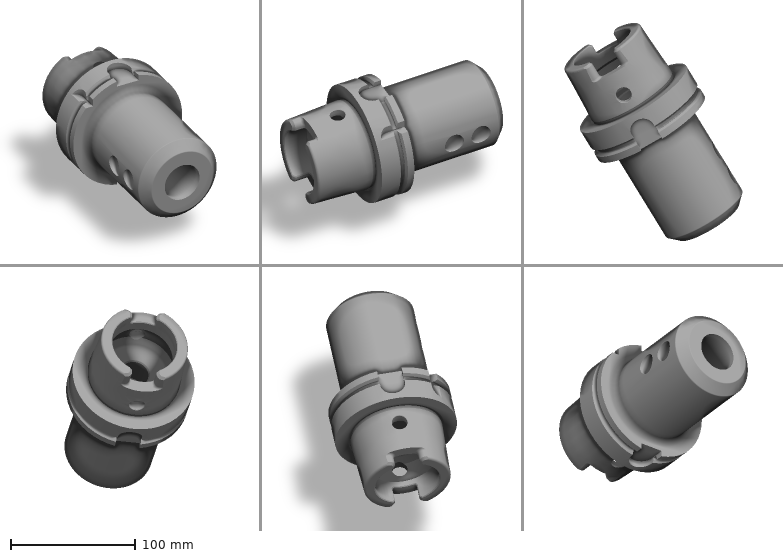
import cadquery as cq
import math

total_length = 170.0

flange_radius = 50.0
flange_start = 50.0
flange_width = 29.0
flange_end = flange_start + flange_width
groove_centre = 70.0
groove_width = 6.5
groove_floor_radius = 45.9
groove_flank_angle = 30.0
groove_slot_width = 3.5
groove_root_fillet = 0.8

taper_tip_radius = 35.5
taper_slope = 1 / 20
taper_end = 47.6
relief_radius = 37.4
relief_lead = 0.8
relief_face_radius = 39.6
relief_face_depth = 0.7
rim_edge = 2.0

body_radius = 36.0
neck_fillet = 5.0
end_chamfer = 8.0
end_edge_fillet = 1.0

mouth_chamfer = 0.7
cavity_entry_radius = 26.5
cavity_entry_end = 20.0
cavity_radius = 31.5
clamp_cone_angle = 60.0
floor_cone_start = 39.5
floor_cone_angle = 45.0
cavity_floor = 44.9
cavity_floor_fillet = 3.4
seat_radius = 11.4
seat_mouth_radius = 12.4
seat_depth = 25.0

keyway_width = 20.0
keyway_land_height = 32.0
keyway_corner_radius = 5.0
keyway_root_fillet = 2.0
top_keyway_depth = 10.0
bottom_keyway_depth = 15.0

slot_width = 20.0
slot_start = 55.0
slot_floor_height = 44.0
notch_wall_offset = 32.0
notch_end_radius = 8.0

access_hole_radius = 6.3
access_hole_x = 34.8
access_hole_chamfer = 0.3
tool_bore_radius = 16.0
tool_bore_depth = 60.0
screw_hole_radius = 8.5
screw_hole_spacing = 24.0

cut_reach = 2 * flange_radius


def turned(profile):
    """Revolve an X-radius profile about the X axis."""
    return profile.close().revolve(360, (0, 0, 0), (1, 0, 0))


def taper_radius(x):
    return taper_tip_radius + taper_slope * x


def outer_body():
    half_top = groove_width / 2
    half_floor = groove_slot_width / 2
    flank_depth = (half_top - half_floor) / math.tan(math.radians(groove_flank_angle))
    slot_top_radius = flange_radius - flank_depth
    profile = (
        cq.Workplane("XY")
        .lineTo(0, taper_radius(0))
        .lineTo(taper_end, taper_radius(taper_end))
        .lineTo(taper_end + relief_lead, relief_radius)
        .lineTo(flange_start + relief_face_depth, relief_radius)
        .lineTo(flange_start, relief_face_radius)
        .lineTo(flange_start, flange_radius)
        .lineTo(groove_centre - half_top, flange_radius)
        .lineTo(groove_centre - half_floor, slot_top_radius)
        .lineTo(groove_centre - half_floor, groove_floor_radius)
        .lineTo(groove_centre + half_floor, groove_floor_radius)
        .lineTo(groove_centre + half_floor, slot_top_radius)
        .lineTo(groove_centre + half_top, flange_radius)
        .lineTo(flange_end, flange_radius)
        .lineTo(flange_end, body_radius + neck_fillet)
        .radiusArc((flange_end + neck_fillet, body_radius), -neck_fillet)
        .lineTo(total_length - end_chamfer, body_radius)
        .lineTo(total_length, body_radius - end_chamfer)
        .lineTo(total_length, 0)
    )
    groove_root = cq.selectors.BoxSelector(
        (groove_centre - half_top, -slot_top_radius, -slot_top_radius),
        (groove_centre + half_top, slot_top_radius, slot_top_radius),
        boundingbox=True,
    )
    body = turned(profile)
    body = body.edges(groove_root).edges(cq.selectors.RadiusNthSelector(0)).fillet(groove_root_fillet)
    tool_end = cq.selectors.BoxSelector(
        (total_length - 1.5 * end_chamfer, -cut_reach, -cut_reach),
        (total_length + end_chamfer, cut_reach, cut_reach),
        boundingbox=True,
    )
    body = body.edges(tool_end).edges("%CIRCLE").fillet(end_edge_fillet)
    return body.faces("<X").edges().fillet(rim_edge)


def cavity():
    cone_run = (cavity_radius - cavity_entry_radius) / math.tan(math.radians(clamp_cone_angle))
    floor_cone = math.radians(floor_cone_angle)
    floor_corner_radius = cavity_radius - (cavity_floor - floor_cone_start) * math.tan(floor_cone)
    tangent_length = cavity_floor_fillet * math.tan((math.pi / 2 - floor_cone) / 2)
    fillet_start = (
        cavity_floor - tangent_length * math.cos(floor_cone),
        floor_corner_radius + tangent_length * math.sin(floor_cone),
    )
    seat_chamfer = seat_mouth_radius - seat_radius
    profile = (
        cq.Workplane("XY")
        .lineTo(0, cavity_entry_radius)
        .lineTo(cavity_entry_end, cavity_entry_radius)
        .lineTo(cavity_entry_end + cone_run, cavity_radius)
        .lineTo(floor_cone_start, cavity_radius)
        .lineTo(*fillet_start)
        .radiusArc((cavity_floor, floor_corner_radius - tangent_length), cavity_floor_fillet)
        .lineTo(cavity_floor, seat_mouth_radius)
        .lineTo(cavity_floor + seat_chamfer, seat_radius)
        .lineTo(cavity_floor + seat_depth, seat_radius)
        .lineTo(cavity_floor + seat_depth, 0)
    )
    return turned(profile)


def is_mouth_edge(edge):
    """True for the inner rim edge, all around the mouth and down into both keyways."""
    return all(
        vertex.X < cavity_entry_end / 2 + bottom_keyway_depth / 2
        and math.isclose(math.hypot(vertex.Y, vertex.Z), cavity_entry_radius, abs_tol=0.02)
        for vertex in edge.Vertices()
    )


def keyway(side, depth):
    """Cutter for one rim keyway: a slot that opens over a flat land, with rounded corners between."""
    half = keyway_width / 2
    outline = (
        cq.Workplane("YZ")
        .moveTo(-half, 0)
        .lineTo(-half, keyway_land_height - keyway_corner_radius)
        .radiusArc((-half - keyway_corner_radius, keyway_land_height), -keyway_corner_radius)
        .lineTo(-cut_reach, keyway_land_height)
        .lineTo(-cut_reach, cut_reach)
        .lineTo(cut_reach, cut_reach)
        .lineTo(cut_reach, keyway_land_height)
        .lineTo(half + keyway_corner_radius, keyway_land_height)
        .radiusArc((half, keyway_land_height - keyway_corner_radius), -keyway_corner_radius)
        .lineTo(half, 0)
        .close()
    )
    flared_outline = cq.Workplane("YZ").add(outline.val()).toPending().offset2D(rim_edge, "intersection")
    flare = flared_outline.extrude(rim_edge, taper=45)
    cutter = outline.extrude(depth)
    cutter = cutter.faces(">X").edges().fillet(keyway_root_fillet)
    cutter = cutter.union(flare)
    if side < 0:
        cutter = cutter.rotate((0, 0, 0), (1, 0, 0), 180)
    return cutter


def flange_slot(side):
    """Round-ended slot in the flange, open towards the body."""
    half = slot_width / 2
    outline = (
        cq.Workplane("XY", origin=(0, 0, side * slot_floor_height))
        .moveTo(flange_end, -half)
        .lineTo(slot_start + half, -half)
        .radiusArc((slot_start + half, half), half)
        .lineTo(flange_end, half)
        .close()
    )
    return outline.extrude(side * cut_reach)


def corner_notch():
    """Square corner notch of the flange between -Y and +Z, with a rounded end."""
    outline = (
        cq.Workplane("XY", origin=(0, 0, notch_wall_offset))
        .moveTo(flange_end, -notch_wall_offset)
        .lineTo(slot_start + notch_end_radius, -notch_wall_offset)
        .radiusArc((slot_start, -notch_wall_offset - notch_end_radius), -notch_end_radius)
        .lineTo(slot_start, -cut_reach)
        .lineTo(flange_end, -cut_reach)
        .close()
    )
    return outline.extrude(cut_reach)


def access_hole():
    return cq.Workplane("XY", origin=(access_hole_x, 0, 0)).circle(access_hole_radius).extrude(
        cut_reach, both=True
    )


def access_hole_rims():
    """Selector for the two edges where the access hole breaks through the taper."""
    rim_reach = access_hole_radius + 0.2
    rim_box = [
        cq.selectors.BoxSelector(
            (access_hole_x - rim_reach, -rim_reach, side * (cavity_radius + rim_edge)),
            (access_hole_x + rim_reach, rim_reach, side * flange_radius),
            boundingbox=True,
        )
        for side in (1, -1)
    ]
    return rim_box[0] + rim_box[1]


def tool_bore():
    return cq.Workplane("YZ", origin=(total_length - tool_bore_depth, 0, 0)).circle(
        tool_bore_radius
    ).extrude(tool_bore_depth)


def screw_hole(x):
    """Clamping screw hole from the -Y side into the tool bore."""
    return cq.Workplane("XZ", origin=(x, 0, 0)).circle(screw_hole_radius).extrude(cut_reach)


result = outer_body()
result = result.cut(keyway(1, top_keyway_depth))
result = result.cut(keyway(-1, bottom_keyway_depth))
result = result.cut(cavity())
result = result.edges().filter(is_mouth_edge).chamfer(mouth_chamfer)
for side in (1, -1):
    result = result.cut(flange_slot(side))
result = result.cut(corner_notch())
result = result.cut(access_hole())
result = result.edges(access_hole_rims()).chamfer(access_hole_chamfer)
result = result.cut(tool_bore())
for position in (1, 2):
    result = result.cut(screw_hole(total_length - position * screw_hole_spacing))